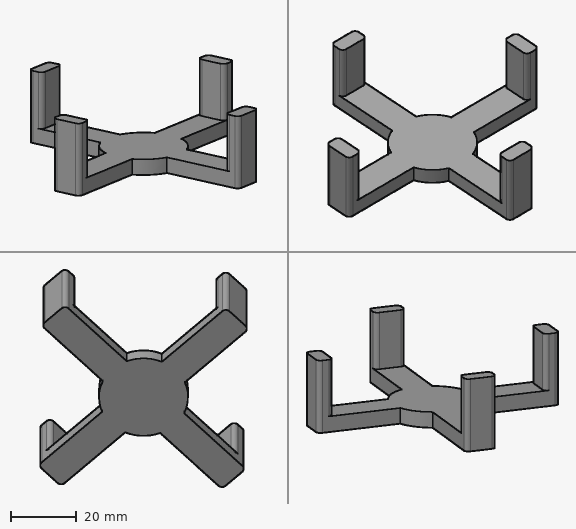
import cadquery as cq

span = 79.0
height = 23.0

arm_width = 10.0
thickness = arm_width / 2
post_corner_radius = 1.5

hub_diameter = 27.0

arm_count = 4
post_center = (span - thickness) / 2


def make_hub():
    """Flat disc joining the four arms."""
    return cq.Workplane("XY").circle(hub_diameter / 2).extrude(thickness)


def make_arm():
    """Arm along +X, from the hub centre to the middle of its post."""
    return cq.Workplane("XY").box(post_center, arm_width, thickness, centered=(False, True, False))


def make_post():
    """Upright post at the +X tip, rounded on its four vertical edges."""
    return (
        cq.Workplane("XY")
        .center(post_center, 0)
        .rect(thickness, arm_width)
        .extrude(height)
        .edges("|Z")
        .fillet(post_corner_radius)
    )


arm_with_post = make_arm().union(make_post())

result = make_hub()
for index in range(arm_count):
    angle = index * 360 / arm_count
    result = result.union(arm_with_post.rotate((0, 0, 0), (0, 0, 1), angle))